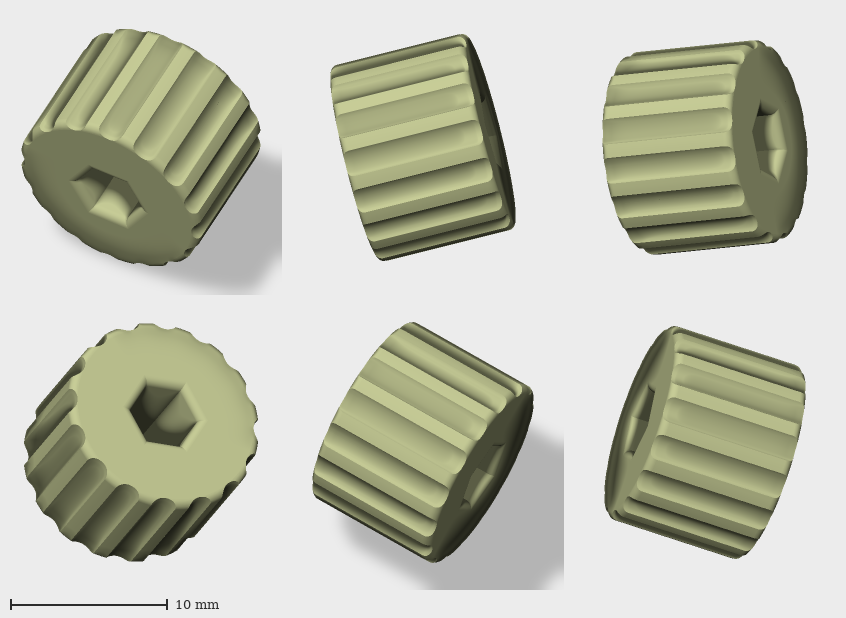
import cadquery as cq
import math

body_radius = 6.5
length = 9.0
rim_radius = 0.5

groove_count = 16
groove_radius = 1.0
groove_depth = rim_radius
groove_centre_radius = body_radius - groove_depth + groove_radius

hex_flats = 4.0
hex_edge_radius = 0.5


def hex_diameter(across_flats):
    """Corner-to-corner size of a hexagon."""
    return across_flats / math.cos(math.pi / 6)


def make_body():
    """Cylinder along Y with both rims rounded."""
    body = cq.Workplane("XZ").circle(body_radius).extrude(length / 2, both=True)
    return body.faces("<Y or >Y").edges().fillet(rim_radius)


def make_grooves():
    """Round cutters spaced evenly about the Y axis, the first on +X."""
    return (
        cq.Workplane("XZ")
        .polarArray(groove_centre_radius, 0, 360, groove_count)
        .circle(groove_radius)
        .extrude(length / 2, both=True)
    )


def cut_hex_hole(body):
    """Hexagonal through hole with rounded edges at both mouths."""
    hexagon = cq.Workplane("XZ").polygon(6, hex_diameter(hex_flats))
    bored = body.cut(hexagon.extrude(length / 2, both=True))
    return bored.faces("<Y or >Y").edges("%LINE").fillet(hex_edge_radius)


result = cut_hex_hole(make_body()).cut(make_grooves())